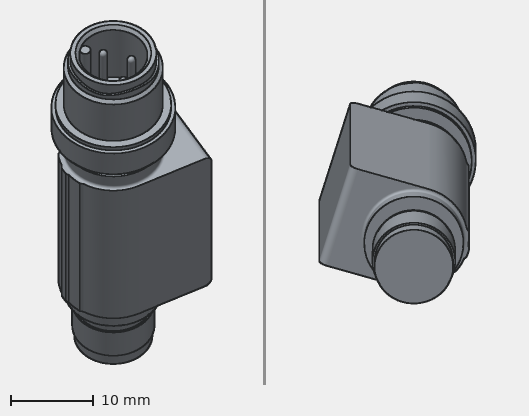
import cadquery as cq
import math

TOTAL_LENGTH = 51.1

PLUG_RADIUS = 4.75
PLUG_GRIP_RADIUS = 5.0
PLUG_NECK_RADIUS = 3.65
PLUG_NECK_FILLET = 0.2
GRIP_BOTTOM_Z = 1.8
GRIP_TOP_Z = 6.0
PLUG_TOP_Z = 7.0

BODY_RADIUS = 6.5
BODY_BOTTOM_Z = 10.25
BODY_TOP_Z = 33.4
HOUSING_DEPTH = 10.0
HOUSING_CORNER_RADIUS = 1.0

STRIPS = ((6.67, 3.0, 2.7), (6.85, 0.85, 0.54))

COLLAR_RADIUS = 6.0
COLLAR_FILLET = 0.35
LOWER_COLLAR_BOTTOM_Z = 8.3
UPPER_COLLAR_TOP_Z = 35.4

NUT_RADIUS = 7.5
NUT_BOTTOM_Z = 36.9
NUT_TOP_Z = 41.85
NUT_END_STEP_RADIUS = 7.0
NUT_END_STEP_HEIGHT = 0.6

BARREL_RADIUS = 6.0
BARREL_CHAMFER_HEIGHT = 0.35
SLEEVE_BOTTOM_Z = 48.8
SLEEVE_RADIUS = 5.5
TUBE_RADIUS = 5.2
BORE_RADIUS = 4.13
BORE_DEPTH = 9.0
BORE_FLOOR_Z = TOTAL_LENGTH - BORE_DEPTH
BORE_CHAMFER = 0.45

WAVE_CREST_Z = TOTAL_LENGTH - 1.22
WAVE_HEIGHT = 0.42
WAVE_COUNT = 4

PIN_RADIUS = 0.5
PIN_CIRCLE_RADIUS = 2.5
PIN_ANGLES = (0, 90, 180)
PIN_TOP_Z = TOTAL_LENGTH - 2.1
KEY_RADIUS = 0.65
KEY_OFFSET = 2.5
KEY_TOP_Z = TOTAL_LENGTH - 0.55


def make_cylinder(radius, bottom_z, top_z):
    """Solid cylinder on the Z axis between two heights."""
    return cq.Workplane("XY", origin=(0, 0, bottom_z)).circle(radius).extrude(top_z - bottom_z)


def make_fillet_ring(radius, shoulder_z, fillet_radius, direction):
    """Concave fillet between a cylinder and a shoulder; direction is +1 above the shoulder, -1 below."""
    arc_inset = fillet_radius * (1 - math.sqrt(0.5))
    start = (radius + fillet_radius, shoulder_z)
    middle = (radius + arc_inset, shoulder_z + direction * arc_inset)
    end = (radius, shoulder_z + direction * fillet_radius)
    return (
        cq.Workplane("XZ")
        .moveTo(0, shoulder_z)
        .lineTo(*start)
        .threePointArc(middle, end)
        .lineTo(0, end[1])
        .close()
        .revolve(360, (0, 0), (0, 1))
    )


def make_plug():
    """Lower plug: a sleeve with a raised grip band, and the neck above it."""
    plug = make_cylinder(PLUG_RADIUS, 0, PLUG_TOP_Z)
    grip = make_cylinder(PLUG_GRIP_RADIUS, GRIP_BOTTOM_Z, GRIP_TOP_Z)
    neck = make_cylinder(PLUG_NECK_RADIUS, PLUG_TOP_Z, LOWER_COLLAR_BOTTOM_Z)
    neck_fillet = make_fillet_ring(PLUG_NECK_RADIUS, PLUG_TOP_Z, PLUG_NECK_FILLET, 1)
    return plug.union(grip).union(neck).union(neck_fillet)


def make_round_body():
    """Cylindrical body with a filleted collar at each end."""
    body = make_cylinder(BODY_RADIUS, BODY_BOTTOM_Z, BODY_TOP_Z)
    collars = make_cylinder(COLLAR_RADIUS, LOWER_COLLAR_BOTTOM_Z, UPPER_COLLAR_TOP_Z)
    lower_fillet = make_fillet_ring(COLLAR_RADIUS, BODY_BOTTOM_Z, COLLAR_FILLET, -1)
    upper_fillet = make_fillet_ring(COLLAR_RADIUS, BODY_TOP_Z, COLLAR_FILLET, 1)
    return body.union(collars).union(lower_fillet).union(upper_fillet)


def make_nut():
    """Coupling nut with a narrower step at each end."""
    hub = make_cylinder(NUT_END_STEP_RADIUS, NUT_BOTTOM_Z, NUT_TOP_Z)
    band = make_cylinder(NUT_RADIUS, NUT_BOTTOM_Z + NUT_END_STEP_HEIGHT, NUT_TOP_Z - NUT_END_STEP_HEIGHT)
    return hub.union(band)


def make_socket():
    """Inner tube rising to the top, inside a chamfered barrel above the nut."""
    tube = make_cylinder(TUBE_RADIUS, UPPER_COLLAR_TOP_Z, TOTAL_LENGTH)
    barrel = (
        make_cylinder(BARREL_RADIUS, NUT_TOP_Z, SLEEVE_BOTTOM_Z)
        .faces(">Z")
        .chamfer(BARREL_CHAMFER_HEIGHT, BARREL_RADIUS - SLEEVE_RADIUS)
    )
    return tube.union(barrel)


def make_housing():
    """Block from the body axis to the flat +Y face, as wide as the body."""
    return (
        cq.Workplane("XY", origin=(0, 0, BODY_BOTTOM_Z))
        .rect(2 * BODY_RADIUS, HOUSING_DEPTH)
        .extrude(BODY_TOP_Z - BODY_BOTTOM_Z)
        .translate((0, HOUSING_DEPTH / 2, 0))
        .edges("|X and >Y")
        .fillet(HOUSING_CORNER_RADIUS)
    )


def make_strip(crest_radius, root_half_width, crest_half_width, base_radius):
    """Raised strip with sloping flanks, from base_radius out to crest_radius."""
    root_y = -math.sqrt(base_radius**2 - root_half_width**2)
    crest_y = -math.sqrt(crest_radius**2 - crest_half_width**2)
    return (
        cq.Workplane("XY", origin=(0, 0, BODY_BOTTOM_Z))
        .moveTo(0, 0)
        .lineTo(root_half_width, root_y)
        .lineTo(crest_half_width, crest_y)
        .threePointArc((0, -crest_radius), (-crest_half_width, crest_y))
        .lineTo(-root_half_width, root_y)
        .close()
        .extrude(BODY_TOP_Z - BODY_BOTTOM_Z)
    )


def make_wave_edge(radius):
    """Closed wavy curve around the Z axis at the given radius."""
    points_per_wave = 12
    point_count = WAVE_COUNT * points_per_wave
    points = []
    for i in range(point_count):
        angle = 2 * math.pi * i / point_count
        drop = WAVE_HEIGHT * (1 - math.cos(WAVE_COUNT * angle)) / 2
        points.append(cq.Vector(radius * math.cos(angle), radius * math.sin(angle), WAVE_CREST_Z - drop))
    return cq.Edge.makeSpline(points, periodic=True)


def make_sleeve():
    """Thin ring around the tube whose upper rim rises and falls in waves."""
    margin = 0.1
    inner_radius = (BORE_RADIUS + BORE_CHAMFER + TUBE_RADIUS) / 2
    ring = (
        cq.Workplane("XY", origin=(0, 0, SLEEVE_BOTTOM_Z))
        .circle(SLEEVE_RADIUS)
        .circle(inner_radius)
        .extrude(WAVE_CREST_Z + margin - SLEEVE_BOTTOM_Z)
    )
    rim = cq.Face.makeRuledSurface(
        make_wave_edge(inner_radius - margin),
        make_wave_edge(SLEEVE_RADIUS + margin),
    )
    trim = cq.Solid.extrudeLinear(rim, cq.Vector(0, 0, 2 * WAVE_HEIGHT))
    return ring.cut(cq.Workplane(trim))


def make_bore():
    """Blind bore from the top with a chamfered mouth."""
    profile = [
        (0, BORE_FLOOR_Z),
        (BORE_RADIUS, BORE_FLOOR_Z),
        (BORE_RADIUS, TOTAL_LENGTH - BORE_CHAMFER),
        (BORE_RADIUS + BORE_CHAMFER, TOTAL_LENGTH),
        (0, TOTAL_LENGTH),
    ]
    return cq.Workplane("XZ").polyline(profile).close().revolve(360, (0, 0), (0, 1))


def make_pin(angle):
    """Contact pin with a hemispherical tip, placed by its angle around the axis."""
    x = PIN_CIRCLE_RADIUS * math.cos(math.radians(angle))
    y = PIN_CIRCLE_RADIUS * math.sin(math.radians(angle))
    shank_length = PIN_TOP_Z - PIN_RADIUS - BORE_FLOOR_Z
    shank = cq.Workplane("XY", origin=(x, y, BORE_FLOOR_Z)).circle(PIN_RADIUS).extrude(shank_length)
    tip = cq.Workplane("XY", origin=(x, y, PIN_TOP_Z - PIN_RADIUS)).sphere(PIN_RADIUS)
    return shank.union(tip)


def make_key():
    """Round polarising key merging into the bore wall."""
    return (
        cq.Workplane("XY", origin=(-KEY_OFFSET, -KEY_OFFSET, BORE_FLOOR_Z))
        .circle(KEY_RADIUS)
        .extrude(KEY_TOP_Z - BORE_FLOOR_Z)
    )


result = make_plug().union(make_round_body()).union(make_nut()).union(make_socket())
result = result.union(make_housing())

base_radius = BODY_RADIUS
for crest_radius, root_half_width, crest_half_width in STRIPS:
    result = result.union(make_strip(crest_radius, root_half_width, crest_half_width, base_radius))
    base_radius = crest_radius

result = result.union(make_sleeve()).cut(make_bore())

for pin_angle in PIN_ANGLES:
    result = result.union(make_pin(pin_angle))

result = result.union(make_key())